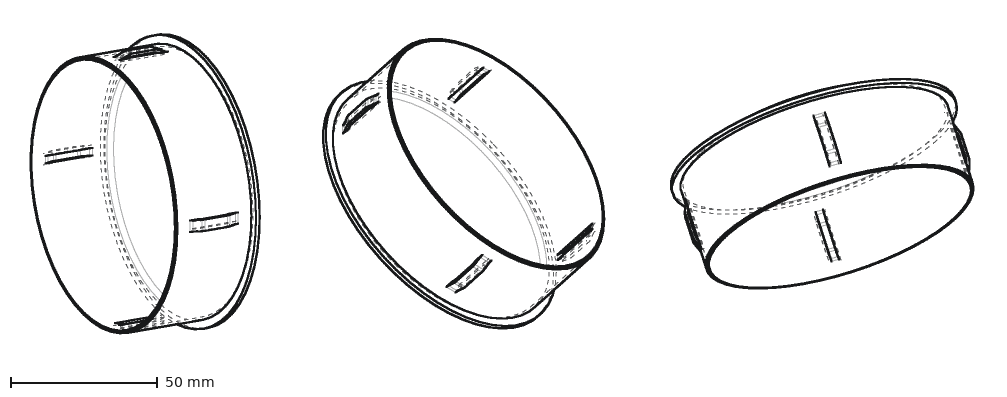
import cadquery as cq
import math

flange_radius = 50.8
flange_thickness = 1.5
dome_height = 10.5
dome_thickness = 1.5

skirt_radius = 47.8
skirt_length = 30.0
wall = 1.0
bore_radius = skirt_radius - wall
rim_chamfer = 0.4
inner_fillet = 2.0

bridge_width = 4.1
bridge_rise = 1.5
bridge_half_foot = 9.0
bridge_half_top = 5.1
bend_radius = 3.0
slot_width = 2.6
bridge_centre_y = -skirt_length / 2

ramp_angle = math.atan2(bridge_rise, bridge_half_foot - bridge_half_top)
bend_tangent = bend_radius * math.tan(ramp_angle / 2)
inner_corner_shift = wall * math.tan(ramp_angle / 2)
outer_half_length = bridge_half_foot + bend_tangent
slot_half_length = outer_half_length - inner_corner_shift


def dome_radius(chord_radius, height):
    """Radius of the sphere whose cap has this base radius and height."""
    return (chord_radius**2 + height**2) / (2 * height)


def cap_body():
    """Revolved flange, dome and skirt, with the bore closed by the inside of the dome."""
    apex_y = flange_thickness + dome_height
    outer_sphere = dome_radius(flange_radius, dome_height)
    inner_sphere = outer_sphere - dome_thickness
    sphere_y = apex_y - outer_sphere

    def on_sphere(sphere, radius):
        return (radius, sphere_y + math.sqrt(sphere**2 - radius**2))

    profile = (
        cq.Workplane("XY")
        .moveTo(0, apex_y - dome_thickness)
        .lineTo(0, apex_y)
        .threePointArc(on_sphere(outer_sphere, flange_radius / 2), (flange_radius, flange_thickness))
        .lineTo(flange_radius, 0)
        .lineTo(skirt_radius, 0)
        .lineTo(skirt_radius, rim_chamfer - skirt_length)
        .lineTo(skirt_radius - rim_chamfer, -skirt_length)
        .lineTo(bore_radius, -skirt_length)
        .lineTo(*on_sphere(inner_sphere, bore_radius))
        .threePointArc(on_sphere(inner_sphere, bore_radius / 2), (0, apex_y - dome_thickness))
        .close()
    )
    body = profile.revolve(360, (0, 0, 0), (0, 1, 0))
    corner_y = on_sphere(inner_sphere, bore_radius)[1]
    reach = bore_radius + wall / 2
    corner = cq.selectors.BoxSelector(
        (-reach, corner_y - wall / 2, -reach),
        (reach, corner_y + wall / 2, reach),
        boundingbox=True,
    )
    return body.edges(corner).fillet(inner_fillet)


def strip_side(base_radius, corner_shift):
    """Points along one face of the bent strip, from its foot at -Y to its foot at +Y.

    The base radius is that of the skirt face it rises from; the shift moves its corners to the centre.
    """
    foot_end = bridge_half_foot + bend_tangent - corner_shift
    flat_end = bridge_half_top - bend_tangent - corner_shift

    def foot_point(angle):
        x = base_radius + bend_radius * (1 - math.cos(angle))
        return (x, foot_end - bend_radius * math.sin(angle))

    def top_point(angle):
        x = base_radius + bridge_rise - bend_radius * (1 - math.cos(angle))
        return (x, flat_end + bend_radius * math.sin(angle))

    upper_half = [
        top_point(0),
        top_point(ramp_angle / 2),
        top_point(ramp_angle),
        foot_point(ramp_angle),
        foot_point(ramp_angle / 2),
        foot_point(0),
    ]
    lower_half = [(x, -y) for x, y in reversed(upper_half)]
    return lower_half + upper_half


def follow_side(path, points):
    """Continue a path from the first of the strip points: bend, ramp, bend, flat, bend, ramp, bend."""
    _, foot_a, ramp_a, ramp_b, top_b, flat_b, flat_c, top_c, ramp_c, ramp_d, foot_d, end = points
    return (
        path.threePointArc(foot_a, ramp_a)
        .lineTo(*ramp_b)
        .threePointArc(top_b, flat_b)
        .lineTo(*flat_c)
        .threePointArc(top_c, ramp_c)
        .lineTo(*ramp_d)
        .threePointArc(foot_d, end)
    )


def bridge_ring():
    """The bent strip section revolved all the way round the axis."""
    outer = strip_side(skirt_radius, 0)
    inner = strip_side(bore_radius, inner_corner_shift)[::-1]
    path = cq.Workplane("XY", origin=(0, bridge_centre_y, 0)).moveTo(*outer[0])
    path = follow_side(path, outer).lineTo(*inner[0])
    path = follow_side(path, inner).close()
    return path.revolve(360, (0, 0, 0), (0, 1, 0))


def crossed_bars(length, width):
    """Bars through the axis along X and Z, covering the four bridge positions at the skirt."""
    span = 2 * flange_radius
    along_x = cq.Workplane("XY").box(span, length, width)
    along_z = cq.Workplane("XY").box(width, length, span)
    return along_x.union(along_z).translate((0, bridge_centre_y, 0))


slots = crossed_bars(2 * slot_half_length, slot_width)
bridges = bridge_ring().intersect(crossed_bars(2 * outer_half_length, bridge_width))
result = cap_body().cut(slots).union(bridges)